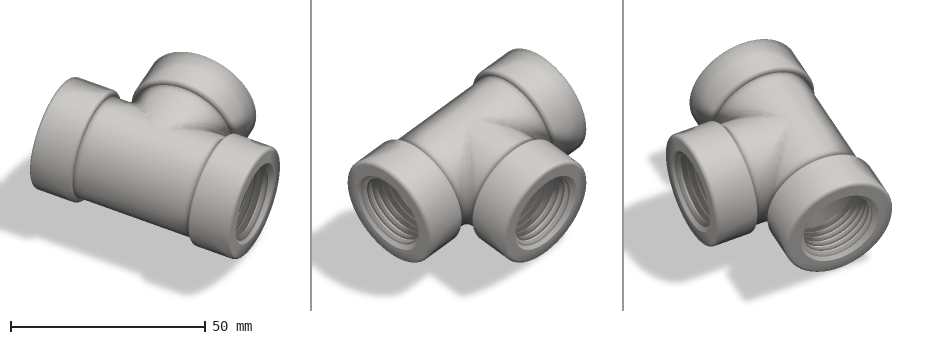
import cadquery as cq
run_length = 57.4
half_run = run_length / 2
branch_reach = half_run
body_diameter = 27.65
collar_diameter = 30.7
collar_length = 11.95
collar_edge_radius = 1.0
crotch_radius = 2.4

bore_diameter = 19.2
mouth_diameter = 22.25
mouth_chamfer_length = 1.4
thread_root_diameter = 21.9
thread_pitch = 1.85
thread_groove_width = 1.7
thread_depth = 11.35
thread_turns = 7
thread_overlap = 0.2
bore_seam_angle = -50

ARMS = [
    ((-1, 0, 0), half_run),
    ((1, 0, 0), half_run),
    ((0, 1, 0), branch_reach),
]


def arm_plane(direction, distance=0.0):
    """Plane square to an arm, at a distance from the centre along it."""
    origin = tuple(distance * component for component in direction)
    return cq.Plane(origin=origin, xDir=(0, 0, 1), normal=direction)


def place_on_arm(shape, direction):
    """Move a shape built along +Z so that it lies along an arm."""
    return cq.Workplane(shape.val().moved(cq.Location(arm_plane(direction))))


def make_body():
    """Two crossing tubes of equal diameter, blended where they meet."""
    run = (
        cq.Workplane(arm_plane((1, 0, 0), -half_run))
        .circle(body_diameter / 2)
        .extrude(run_length)
    )
    branch = cq.Workplane(arm_plane((0, 1, 0))).circle(body_diameter / 2).extrude(branch_reach)
    return run.union(branch).edges("%ELLIPSE").fillet(crotch_radius)


def make_collar(direction, length):
    """Thick ring at the end of an arm with both outer edges rounded."""
    return (
        cq.Workplane(arm_plane(direction, length - collar_length))
        .circle(collar_diameter / 2)
        .extrude(collar_length)
        .edges()
        .fillet(collar_edge_radius)
    )


def make_arm_cavity(direction, length):
    """Bore and tapered mouth of one arm."""
    mouth_radius = mouth_diameter / 2
    bore_radius = bore_diameter / 2
    profile = [
        (0, 0),
        (0, length),
        (mouth_radius, length),
        (bore_radius, length - mouth_chamfer_length),
        (bore_radius, 0),
    ]
    cavity = cq.Workplane("XZ").polyline(profile).close().revolve(360, (0, 0), (0, 1))
    cavity = cavity.rotate((0, 0, 0), (0, 0, 1), bore_seam_angle)
    return place_on_arm(cavity, direction)


def make_thread_groove(direction, length):
    """Helical V groove that runs from inside one arm out through its mouth."""
    bore_radius = bore_diameter / 2
    root_radius = thread_root_diameter / 2
    start = length - thread_depth
    half_width = thread_groove_width / 2
    open_radius = bore_radius - thread_overlap
    groove_profile = [
        (open_radius, start - half_width),
        (root_radius, start),
        (open_radius, start + half_width),
    ]
    helix = cq.Wire.makeHelix(
        thread_pitch,
        thread_turns * thread_pitch,
        bore_radius,
        center=cq.Vector(0, 0, start),
        lefthand=True,
    )
    groove = cq.Workplane("XZ").polyline(groove_profile).close().sweep(cq.Workplane(helix), isFrenet=True)
    return place_on_arm(groove, direction)


result = make_body()
for direction, length in ARMS:
    result = result.union(make_collar(direction, length))
for direction, length in ARMS:
    result = result.cut(make_arm_cavity(direction, length), clean=False)
for direction, length in ARMS:
    result = result.cut(make_thread_groove(direction, length), clean=False)